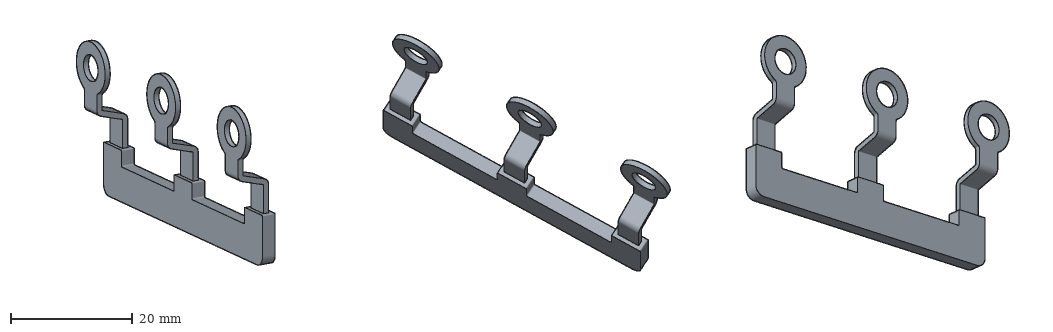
import cadquery as cq
import math

overall_length = 53.0
overall_depth = 6.75
overall_height = 27.6
ring_diameter = 9.0
ring_radius = ring_diameter / 2
pitch = (overall_length - ring_diameter) / 2
terminal_positions = [-pitch, 0.0, pitch]

bar_thickness = 2.5
bar_height = 6.1
block_width = 5.65
block_height = 8.95
bar_length = 2 * pitch + block_width
bottom_radius = 1.75
notch_radius = 0.2
block_edge_radius = 0.2

strip_width = 4.0
strip_thickness = 1.0
hole_diameter = 4.5
neck_radius = 0.4
bend_angle = math.radians(16)
inner_bend_radius = 0.1
outer_bend_radius = inner_bend_radius + strip_thickness
upper_bend_height = 15.35
ring_height = overall_height - ring_radius

leg_front = -(bar_thickness + strip_thickness) / 2
leg_back = leg_front + strip_thickness
ring_front = -overall_depth
ring_back = ring_front + strip_thickness

lower_bend_height = upper_bend_height - (leg_front - ring_front) * math.tan(bend_angle)
corner_rise = strip_thickness * (1 - math.sin(bend_angle)) / math.cos(bend_angle)


def make_carrier():
    """Flat bar with a raised block under every terminal."""
    bar = (
        cq.Workplane("XY")
        .box(bar_length, bar_thickness, bar_height, centered=(True, False, False))
        .translate((0, -bar_thickness, 0))
        .edges("|Y and <Z")
        .fillet(bottom_radius)
    )
    for x in terminal_positions:
        block_base = bar_height / 2
        block = (
            cq.Workplane("XY")
            .box(block_width, bar_thickness, block_height - block_base, centered=(True, False, False))
            .translate((x, -bar_thickness, block_base))
        )
        bar = bar.union(block)
    bar = bar.clean()

    notch_corners = [
        terminal_positions[0] + block_width / 2,
        -block_width / 2,
        block_width / 2,
        terminal_positions[-1] - block_width / 2,
    ]
    for x in notch_corners:
        corner = (x, -bar_thickness / 2, bar_height)
        bar = bar.edges(cq.NearestToPointSelector(corner)).fillet(notch_radius)
    return bar.edges("|Y and >Z").fillet(block_edge_radius)


def make_bent_strip():
    """Constant-width strip with two opposite bends, profile in the YZ plane."""
    front_lower = (leg_front, lower_bend_height)
    front_upper = (ring_front, upper_bend_height)
    back_upper = (ring_back, upper_bend_height + corner_rise)
    back_lower = (leg_back, lower_bend_height + corner_rise)
    strip = (
        cq.Workplane("YZ")
        .polyline([
            (leg_front, block_height),
            front_lower,
            front_upper,
            (ring_front, ring_height),
            (ring_back, ring_height),
            back_upper,
            back_lower,
            (leg_back, block_height),
        ])
        .close()
        .extrude(strip_width / 2, both=True)
    )
    bends = [
        (front_lower, inner_bend_radius),
        (front_upper, outer_bend_radius),
        (back_upper, inner_bend_radius),
        (back_lower, outer_bend_radius),
    ]
    for (y, z), radius in bends:
        strip = strip.edges(cq.NearestToPointSelector((0, y, z))).fillet(radius)
    return strip


def ring_plane():
    """Plane on the back of the ring, facing -Y, with its origin at the ring centre."""
    return cq.Workplane("XZ", origin=(0, ring_back, ring_height))


def make_terminal():
    """Bent strip ending in a flat ring with a screw hole."""
    disc = ring_plane().circle(ring_radius).extrude(strip_thickness)
    terminal = make_bent_strip().union(disc)

    neck_drop = math.sqrt(ring_radius**2 - (strip_width / 2) ** 2)
    for side in (-1, 1):
        corner = (side * strip_width / 2, ring_front + strip_thickness / 2, ring_height - neck_drop)
        terminal = terminal.edges(cq.NearestToPointSelector(corner)).fillet(neck_radius)

    hole = ring_plane().circle(hole_diameter / 2).extrude(strip_thickness)
    return terminal.cut(hole)


carrier = make_carrier()
terminal = make_terminal()
terminals = []
for x in terminal_positions:
    terminals.append(terminal.translate((x, 0, 0)).val())

bodies = carrier.solids().vals()
for body in terminals:
    bodies.extend(body.Solids())
result = cq.Compound.makeCompound(bodies)